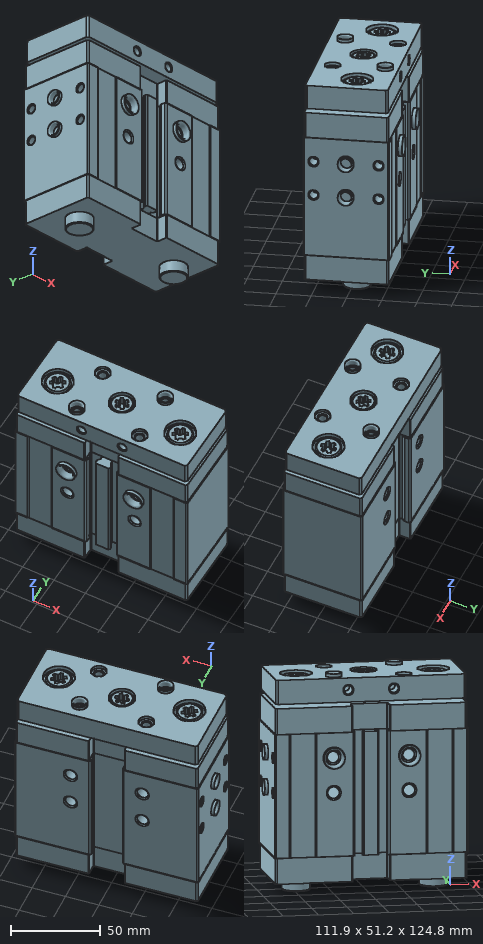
import cadquery as cq
import math


barrel_width = 110.0
barrel_depth = 49.0
barrel_height = 70.4
barrel_corner = 0.7
cap_inset_x = 0.5
cap_inset_y = 0.5
cap_height = 14.7
cap_width = barrel_width - 2 * cap_inset_x
cap_depth = barrel_depth - 2 * cap_inset_y
cap_corner = 1.0
barrel_bottom = cap_height
barrel_top = barrel_bottom + barrel_height
housing_top = barrel_top + cap_height
barrel_front = -barrel_depth / 2
barrel_left = -barrel_width / 2

groove_floor = 17.0
groove_floor_chamfer = 0.5
groove_half = 10.6
cap_mouth_chamfer = 0.5
lip_half = 9.5
lip_chamfer = 1.0

ridge_base_half = 3.2
neck_height = 2.0
ridge_head_half = 4.6
flare_height = 4.0
ridge_height = 6.1
ridge_chamfer = 0.7

strip_inner = 31.1
strip_outer = 46.8
strip_depth = 0.5
strip_slope = 0.9

plate_gap = 2.4
plate_height = 13.7
plate_width = 108.1
plate_depth = 47.0
plate_corner = 1.2
plate_bottom = housing_top + plate_gap
plate_top = plate_bottom + plate_height
plate_front = -plate_depth / 2

guide_diameter = 16.0
guide_x = 39.0
guide_y = -3.5
guide_overhang = 7.0
guide_chamfer = 0.5
piston_rod_diameter = 12.0

guide_counterbore = 18.0
guide_head = 15.0
guide_socket = 9.0
piston_counterbore = 15.0
piston_head = 13.0
piston_socket = 8.2
counterbore_depth = 2.5
guide_head_drop = 1.0
piston_head_drop = 0.6
guide_head_chamfer = 0.9
piston_head_chamfer = 0.5
socket_depth = 5.0

small_sleeve_projection = 1.9
large_sleeve_projection = 2.2
sleeve_rim = 0.2
small_sleeve_outer = 9.0
small_sleeve_inner = 6.6
large_sleeve_outer = 12.0
large_sleeve_inner = 8.9

thread_drill = 4.9
thread_mouth = 6.0
blind_depth = 10.0
drill_point_angle = 118.0
plate_hole_x = 20.0
plate_hole_y = 15.0
plate_hole_offset_y = -1.0
plate_front_hole_x = 13.0
plate_front_hole_z = plate_bottom + plate_height / 2
mount_x = 21.5
mount_drill = 6.6
mount_mouth = 8.2
upper_row_z = 71.0
row_spacing = 20.0
lower_row_z = upper_row_z - row_spacing
side_hole_y = 18.5

row_heights = (upper_row_z, lower_row_z)
sides = (-1, 1)

FRONT = cq.Vector(0, -1, 0)
BACK = cq.Vector(0, 1, 0)
LEFT = cq.Vector(-1, 0, 0)
UP = cq.Vector(0, 0, 1)


def block(width, depth, bottom, height, corner):
    """Upright block centred on the Z axis with chamfered vertical edges."""
    return (
        cq.Workplane("XY", origin=(0, 0, bottom))
        .rect(width, depth)
        .extrude(height)
        .edges("|Z")
        .chamfer(corner)
    )


def bore(face_point, outward, diameter, depth):
    """Cylinder running from a point on a face into the material."""
    return cq.Workplane(cq.Solid.makeCylinder(diameter / 2, depth, cq.Vector(*face_point), outward * -1))


def mouth_cone(face_point, outward, mouth, diameter):
    """45 degree countersink at a hole mouth."""
    depth = (mouth - diameter) / 2
    return cq.Workplane(
        cq.Solid.makeCone(mouth / 2, diameter / 2, depth, cq.Vector(*face_point), outward * -1)
    )


def threaded_hole(face_point, outward):
    """Blind countersunk hole with a conical drill point."""
    point = cq.Vector(*face_point)
    radius = thread_drill / 2
    tip_length = radius / math.tan(math.radians(drill_point_angle / 2))
    tip = cq.Solid.makeCone(radius, 0, tip_length, point - outward * blind_depth, outward * -1)
    return (
        bore(face_point, outward, thread_drill, blind_depth)
        .union(mouth_cone(face_point, outward, thread_mouth, thread_drill))
        .union(cq.Workplane(tip))
    )


def sleeve(face_point, outward, outer, inner, projection):
    """Centring sleeve sunk by half its length, rounded inside its outer end."""
    length = 2 * projection
    edge_round = (outer - inner) / 2 - sleeve_rim
    base = cq.Vector(*face_point) - outward * projection
    across = cq.Vector(1, 0, 0) if abs(outward.x) < 1 else cq.Vector(0, 1, 0)
    plane = cq.Plane(origin=base, xDir=across, normal=across.cross(outward))
    return (
        cq.Workplane(plane)
        .moveTo(inner / 2, 0)
        .lineTo(outer / 2, 0)
        .lineTo(outer / 2, length)
        .lineTo(outer / 2 - sleeve_rim, length)
        .radiusArc((inner / 2, length - edge_round), -edge_round)
        .close()
        .revolve(360, (0, 0, 0), (0, 1, 0))
    )


def cut_grooves(body, half_outline, bottom, height):
    """Cut the same symmetric groove into the front and the back.

    The half outline lists (x, distance from the centre plane) from the floor to the mouth.
    """
    outline = half_outline + [(-x, distance) for x, distance in reversed(half_outline)]
    front = (
        cq.Workplane("XY", origin=(0, 0, bottom))
        .polyline([(x, -distance) for x, distance in outline])
        .close()
        .extrude(height)
    )
    return body.cut(front).cut(front.mirror("XZ"))


def star_socket(size, start_angle, drop):
    """Six-lobed driver socket below a head top on the Z axis."""
    top = plate_top - drop
    points = []
    lobe_count = 6
    valley_ratio = 0.7
    lobe_half_angle = 10
    valley_half_angle = 22
    for lobe in range(lobe_count):
        centre = start_angle + lobe * 360 / lobe_count
        for turn, radius in (
            (-valley_half_angle, size / 2 * valley_ratio),
            (-lobe_half_angle, size / 2),
            (lobe_half_angle, size / 2),
            (valley_half_angle, size / 2 * valley_ratio),
        ):
            angle = math.radians(centre + turn)
            points.append((radius * math.cos(angle), radius * math.sin(angle)))
    return cq.Workplane("XY", origin=(0, 0, top)).polyline(points).close().extrude(-socket_depth)


groove_foot = [
    (groove_half - groove_floor_chamfer, groove_floor),
    (groove_half, groove_floor + groove_floor_chamfer),
]


def end_cap(bottom):
    cap = block(cap_width, cap_depth, bottom, cap_height, cap_corner)
    groove = groove_foot + [
        (groove_half, cap_depth / 2 - cap_mouth_chamfer),
        (groove_half + cap_mouth_chamfer, cap_depth / 2),
    ]
    cap = cut_grooves(cap, groove, bottom, cap_height)
    for side in sides:
        cap = cap.cut(bore((side * guide_x, guide_y, bottom + cap_height), UP, guide_diameter, cap_height))
    return cap


bottom_cap = end_cap(0)
top_cap = end_cap(barrel_top).cut(bore((0, 0, housing_top), UP, piston_rod_diameter, cap_height))


def ridge():
    half_outline = [
        (ridge_base_half, 0),
        (ridge_base_half, neck_height),
        (ridge_head_half, flare_height),
        (ridge_head_half, ridge_height - ridge_chamfer),
        (ridge_head_half - ridge_chamfer, ridge_height),
    ]
    outline = half_outline + [(-x, rise) for x, rise in reversed(half_outline)]
    return (
        cq.Workplane("XY", origin=(0, 0, barrel_bottom))
        .polyline([(x, -groove_floor - rise) for x, rise in outline])
        .close()
        .extrude(barrel_height)
    )


def front_strip():
    """Cutter for the strip on the +X side."""
    return (
        cq.Workplane("XY", origin=(0, barrel_front, barrel_bottom))
        .moveTo(strip_inner, 0)
        .lineTo(strip_inner + strip_slope, strip_depth)
        .lineTo(strip_outer - strip_slope, strip_depth)
        .lineTo(strip_outer, 0)
        .close()
        .extrude(barrel_height)
    )


def build_barrel():
    body = block(barrel_width, barrel_depth, barrel_bottom, barrel_height, barrel_corner)
    groove = groove_foot + [
        (groove_half, groove_floor + neck_height),
        (lip_half, groove_floor + flare_height),
        (lip_half, barrel_depth / 2 - lip_chamfer),
        (lip_half + lip_chamfer, barrel_depth / 2),
    ]
    body = cut_grooves(body, groove, barrel_bottom, barrel_height)
    body = body.union(ridge()).cut(front_strip()).cut(front_strip().mirror("YZ"))
    for side in sides:
        body = body.cut(bore((side * guide_x, guide_y, barrel_top), UP, guide_diameter, barrel_height))
        for z in row_heights:
            front_point = (side * mount_x, barrel_front, z)
            back_point = (side * mount_x, -barrel_front, z)
            body = body.cut(bore(front_point, FRONT, mount_drill, barrel_depth))
            body = body.cut(mouth_cone(front_point, FRONT, mount_mouth, mount_drill))
            body = body.cut(mouth_cone(back_point, BACK, mount_mouth, mount_drill))
            body = body.cut(threaded_hole((barrel_left, side * side_hole_y, z), LEFT))
        upper_point = (side * mount_x, barrel_front, upper_row_z)
        body = body.cut(bore(upper_point, FRONT, large_sleeve_outer, large_sleeve_projection))
    for z in row_heights:
        body = body.cut(bore((barrel_left, 0, z), LEFT, small_sleeve_outer, small_sleeve_projection))
    return body


barrel = build_barrel()


def screw_head(diameter, drop, edge_chamfer):
    """Round head on the Z axis, standing on the counterbore floor."""
    floor = plate_top - counterbore_depth
    top = plate_top - drop
    return (
        cq.Workplane("XY", origin=(0, 0, floor))
        .circle(diameter / 2)
        .extrude(top - floor)
        .faces(">Z")
        .chamfer(edge_chamfer)
    )


def guide_rod():
    return (
        cq.Workplane("XY", origin=(0, 0, -guide_overhang))
        .circle(guide_diameter / 2)
        .extrude(plate_bottom + guide_overhang)
        .faces("<Z")
        .chamfer(guide_chamfer)
    )


def build_yoke():
    body = block(plate_width, plate_depth, plate_bottom, plate_height, plate_corner)
    for side_x in sides:
        for side_y in sides:
            point = (side_x * plate_hole_x, plate_hole_offset_y + side_y * plate_hole_y, plate_top)
            seat_floor = (point[0], point[1], plate_top - small_sleeve_projection)
            body = body.cut(bore(point, UP, small_sleeve_outer, small_sleeve_projection))
            body = body.cut(bore(point, UP, thread_drill, plate_height))
            body = body.cut(mouth_cone(seat_floor, UP, thread_mouth, thread_drill))
        body = body.cut(threaded_hole((side_x * plate_front_hole_x, plate_front, plate_front_hole_z), FRONT))
        guide_position = (side_x * guide_x, guide_y, 0)
        counterbore_point = (side_x * guide_x, guide_y, plate_top)
        body = body.cut(bore(counterbore_point, UP, guide_counterbore, counterbore_depth))
        guide_screw = screw_head(guide_head, guide_head_drop, guide_head_chamfer)
        body = body.union(guide_screw.translate(guide_position))
        body = body.cut(star_socket(guide_socket, 90, guide_head_drop).translate(guide_position))
        body = body.union(guide_rod().translate(guide_position))
    body = body.cut(bore((0, 0, plate_top), UP, piston_counterbore, counterbore_depth))
    body = body.union(screw_head(piston_head, piston_head_drop, piston_head_chamfer))
    body = body.cut(star_socket(piston_socket, 0, piston_head_drop))
    return body.union(bore((0, 0, plate_bottom), UP, piston_rod_diameter, plate_bottom - barrel_top))


yoke = build_yoke()


plate_sleeves = [
    sleeve(
        (side * plate_hole_x, plate_hole_offset_y + side * plate_hole_y, plate_top),
        UP,
        small_sleeve_outer,
        small_sleeve_inner,
        small_sleeve_projection,
    )
    for side in sides
]
side_sleeves = [
    sleeve((barrel_left, 0, z), LEFT, small_sleeve_outer, small_sleeve_inner, small_sleeve_projection)
    for z in row_heights
]
front_sleeves = [
    sleeve(
        (side * mount_x, barrel_front, upper_row_z),
        FRONT,
        large_sleeve_outer,
        large_sleeve_inner,
        large_sleeve_projection,
    )
    for side in sides
]
sleeves = [ring.val() for ring in plate_sleeves + side_sleeves + front_sleeves]

result = cq.Compound.makeCompound(
    [bottom_cap.val(), barrel.val(), top_cap.val(), yoke.val(), *sleeves]
)